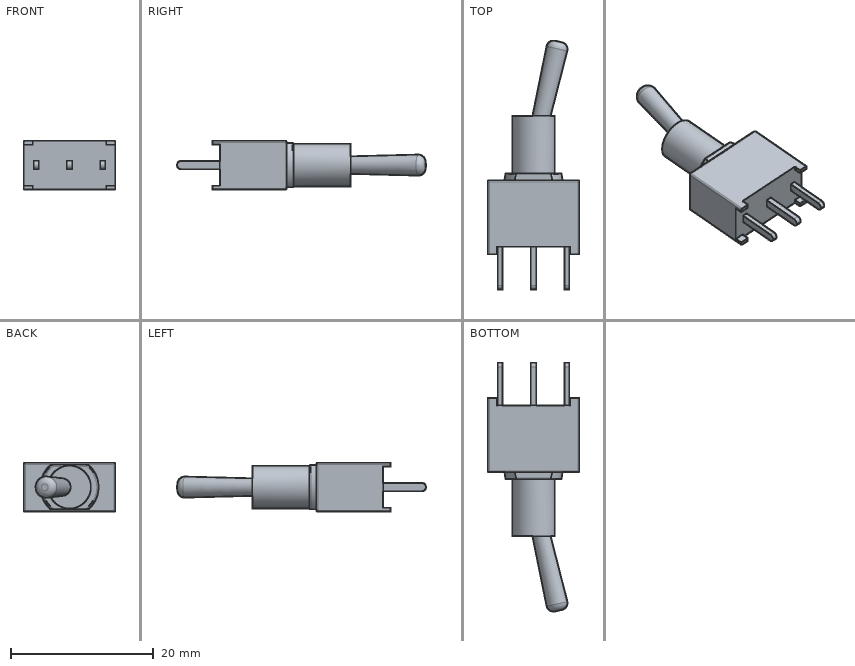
import cadquery as cq
import math

overall_length = 34.95

case_width = 12.9
case_height = 6.9
case_length = 9.35
case_edge_radius = 0.2
foot_width = 1.33
foot_thickness = 0.55
foot_length = 1.05

pin_length = 6.0
pin_height = 1.2
pin_pitch = 4.68
outer_pin_width = 0.7
center_pin_width = 0.8

collar_length = 0.98
collar_base_radius = 4.1
collar_end_radius = 3.95
collar_height = 6.25
collar_end_rounding = 0.17
bushing_radius = 3.0
bushing_length = 8.0

lever_tilt = 12.9
lever_base_radius = 1.25
lever_tip_radius = 1.5
lever_tip_rounding = 1.0
pivot_depth = 4.9

collar_end_y = case_length + collar_length
bushing_end_y = collar_end_y + bushing_length


def along_y(start_y):
    """Sketch plane at start_y that extrudes toward +Y."""
    return cq.Workplane(cq.Plane((0, start_y, 0), (-1, 0, 0), (0, 1, 0)))


def make_case():
    """Rounded block whose terminal end is cut back to leave four corner feet."""
    block = along_y(-foot_length).rect(case_width, case_height).extrude(case_length + foot_length)
    block = block.edges("|Y or >Y").fillet(case_edge_radius)
    between_feet_x = along_y(-foot_length).rect(
        case_width - 2 * foot_width, case_height).extrude(foot_length)
    between_feet_z = along_y(-foot_length).rect(
        case_width, case_height - 2 * foot_thickness).extrude(foot_length)
    return block.cut(between_feet_x).cut(between_feet_z)


def make_pin(x, width):
    """Flat terminal pin with a full-round tip."""
    tip_radius = pin_height / 2
    shoulder_y = tip_radius - pin_length
    return (
        cq.Workplane("YZ", origin=(x - width / 2, 0, 0))
        .moveTo(0, -tip_radius)
        .lineTo(shoulder_y, -tip_radius)
        .threePointArc((-pin_length, 0), (shoulder_y, tip_radius))
        .lineTo(0, tip_radius)
        .close()
        .extrude(width)
    )


def make_collar():
    """Tapered round collar with flats on its two Z sides and a rounded end edge."""
    cone = (
        along_y(case_length).circle(collar_base_radius)
        .workplane(offset=collar_length).circle(collar_end_radius)
        .loft(ruled=True)
    )
    flats = along_y(case_length).rect(2 * collar_base_radius, collar_height).extrude(collar_length)
    return cone.intersect(flats).faces(">Y").edges().fillet(collar_end_rounding)


def make_housing():
    bushing = along_y(case_length).circle(bushing_radius).extrude(collar_length + bushing_length)
    housing = make_case().union(make_collar()).union(bushing)
    for position in (-1, 0, 1):
        width = center_pin_width if position == 0 else outer_pin_width
        housing = housing.union(make_pin(position * pin_pitch, width))
    return housing


def make_lever():
    """Tapered, tilted lever with a rounded tip, seated flat on the bushing end face."""
    tilt = math.radians(lever_tilt)
    pivot_y = bushing_end_y - pivot_depth
    tip_y = overall_length - pin_length

    rounding_center_radius = lever_tip_radius - lever_tip_rounding
    rise = tip_y - pivot_y - lever_tip_rounding - rounding_center_radius * math.sin(tilt)
    rounding_start = rise / math.cos(tilt)
    lever_length = rounding_start + lever_tip_rounding

    face_distance = pivot_depth / math.cos(tilt)
    taper = (lever_tip_radius - lever_base_radius) / (rounding_start - face_distance)
    pivot_radius = lever_base_radius - taper * face_distance
    arc_offset = lever_tip_rounding * math.sqrt(0.5)

    lever = (
        cq.Workplane("XY")
        .lineTo(pivot_radius, 0)
        .lineTo(lever_tip_radius, rounding_start)
        .threePointArc(
            (rounding_center_radius + arc_offset, rounding_start + arc_offset),
            (rounding_center_radius, lever_length),
        )
        .lineTo(0, lever_length)
        .close()
        .revolve(360, (0, 0, 0), (0, 1, 0))
        .rotate((0, 0, 0), (0, 0, 1), -lever_tilt)
        .translate((0, pivot_y, 0))
    )
    above_bushing = along_y(bushing_end_y).rect(case_width, case_height).extrude(overall_length)
    return lever.intersect(above_bushing)


housing = make_housing()
lever = make_lever()
result = cq.Compound.makeCompound([*housing.solids().vals(), *lever.solids().vals()])